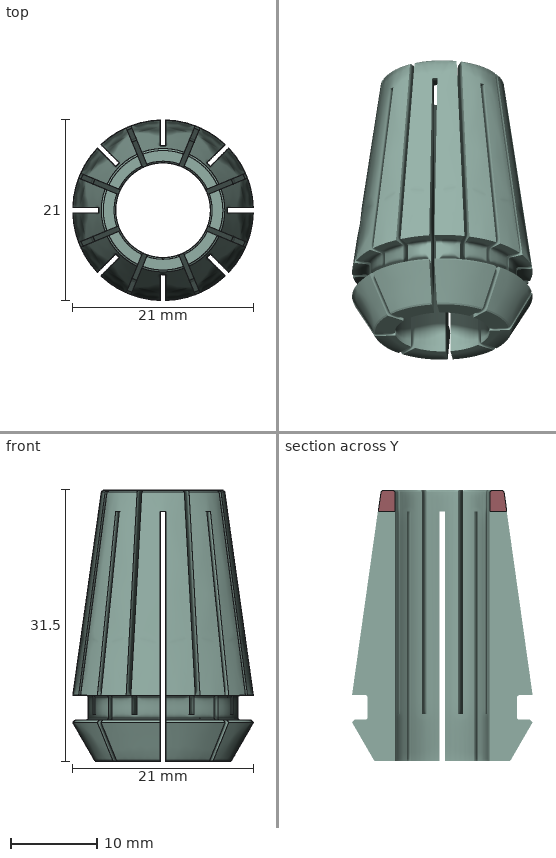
import cadquery as cq
import math

length = 31.5
max_radius = 10.5
bore_radius = 11.0 / 2

taper_half_angle = 8.0
taper_base_z = 7.65
tip_radius = max_radius - (length - taper_base_z) * math.tan(math.radians(taper_half_angle))
tip_edge_break = 0.2
bore_edge_break = 0.2

groove_radius = 8.7
groove_base_z = 4.8
groove_corner_radius = 0.25

nose_half_angle = 30.0
rim_z = 4.5
rim_chamfer_width = 0.3
nose_edge_break = 0.15
nose_radius = max_radius - (rim_z - nose_edge_break) * math.tan(math.radians(nose_half_angle))

slots_per_set = 8
slot_pitch = 360.0 / slots_per_set
slot_width = 0.6
nose_slot_end_z = 29.0
tip_slot_end_z = 5.45


def make_body():
    """Revolve the wall section, with X as radius and Y as height."""
    corner = groove_corner_radius
    arc_mid = corner * (1 - math.sqrt(0.5))
    tip_edge_radius = tip_radius + tip_edge_break * math.tan(math.radians(taper_half_angle))
    section = (
        cq.Workplane("XZ")
        .moveTo(bore_radius, 0)
        .lineTo(nose_radius - nose_edge_break, 0)
        .lineTo(nose_radius, nose_edge_break)
        .lineTo(max_radius, rim_z)
        .lineTo(max_radius - rim_chamfer_width, groove_base_z)
        .lineTo(groove_radius + corner, groove_base_z)
        .threePointArc(
            (groove_radius + arc_mid, groove_base_z + arc_mid),
            (groove_radius, groove_base_z + corner),
        )
        .lineTo(groove_radius, taper_base_z - corner)
        .threePointArc(
            (groove_radius + arc_mid, taper_base_z - arc_mid),
            (groove_radius + corner, taper_base_z),
        )
        .lineTo(max_radius, taper_base_z)
        .lineTo(tip_edge_radius, length - tip_edge_break)
        .lineTo(tip_radius - tip_edge_break, length)
        .lineTo(bore_radius + bore_edge_break, length)
        .lineTo(bore_radius, length - bore_edge_break)
        .close()
    )
    return section.revolve(360, (0, 0, 0), (0, 1, 0))


def cut_slots(body, width, bottom_z, top_z, start_angle):
    """Cut one set of slots through the wall, evenly spaced around the Z axis."""
    reach = 2 * max_radius
    blade = cq.Workplane("XY").box(reach, width, top_z - bottom_z, centered=(False, True, False))
    blade = blade.translate((0, 0, bottom_z))
    for index in range(slots_per_set):
        angle = start_angle + index * slot_pitch
        body = body.cut(blade.rotate((0, 0, 0), (0, 0, 1), angle))
    return body


result = make_body()
result = cut_slots(result, slot_width, 0, nose_slot_end_z, 0)
result = cut_slots(result, slot_width, tip_slot_end_z, length, slot_pitch / 2)